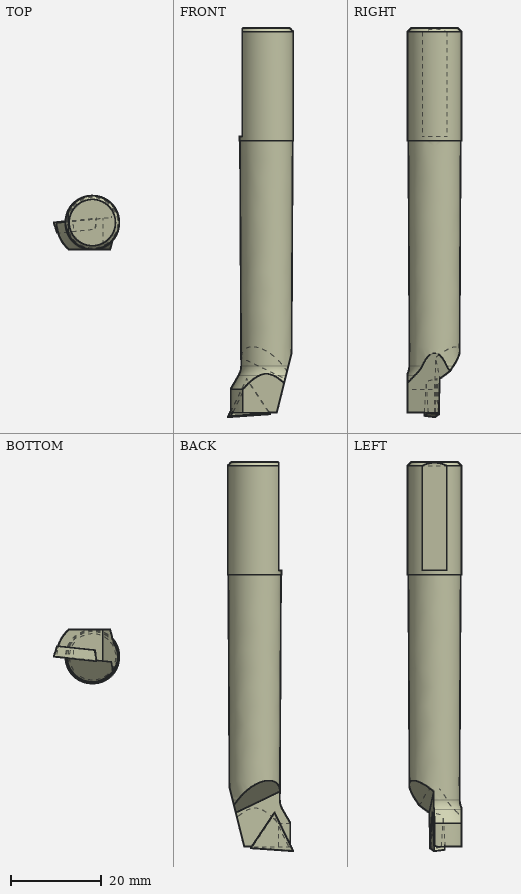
import cadquery as cq
import math


overall_height = 86.05
overall_width = 14.5
shank_radius = 5.98
shank_bottom = 61.1
end_chamfer = 0.9
flat_width = 5.4
flat_bottom = 62.0
flat_offset = math.sqrt(shank_radius**2 - (flat_width / 2) ** 2)

neck_top_radius = 5.85
neck_radius = 5.6
blend_top = 11.4
blend_radius = 4.1
flare_angle = math.radians(30)

head_radius = 7.9
head_bottom = 1.0

relief_start_x = 2.3
relief_angle = math.radians(14)

rake_angle = math.radians(6)
rake_edge_y = -0.1
runout_height = 9.9
runout_slope_x = -0.57
runout_slope_y = 0.85

insert_edge = 9.55
insert_thickness = 2.4
insert_clearance = 7.0
insert_tilt = 4.0
insert_corner = 60.0
tip_x = shank_radius - overall_width
tip_y = 0.04

cutter_size = 51.6


def half_space(plane):
    """Large block filling the positive side of a plane."""
    return cq.Workplane(plane).rect(cutter_size, cutter_size).extrude(cutter_size)


def rake_plane(origin):
    """Plane parallel to the rake face, its normal pointing into the bar."""
    across = (math.cos(rake_angle), math.sin(rake_angle), 0)
    inward = (math.sin(rake_angle), -math.cos(rake_angle), 0)
    return cq.Plane(origin=origin, xDir=across, normal=inward)


def turned_bar():
    """Shank, tapered neck, blend, flare and head as one revolved profile."""
    def blend_point(angle):
        return (
            neck_radius + blend_radius * (1 - math.cos(angle)),
            blend_top - blend_radius * math.sin(angle),
        )

    flare_start = blend_point(flare_angle)
    flare_bottom = flare_start[1] - (head_radius - flare_start[0]) / math.tan(flare_angle)
    return (
        cq.Workplane("XZ")
        .moveTo(0, head_bottom)
        .lineTo(head_radius, head_bottom)
        .lineTo(head_radius, flare_bottom)
        .lineTo(*flare_start)
        .threePointArc(blend_point(flare_angle / 2), (neck_radius, blend_top))
        .lineTo(neck_top_radius, shank_bottom)
        .lineTo(shank_radius, shank_bottom)
        .lineTo(shank_radius, overall_height - end_chamfer)
        .lineTo(shank_radius - end_chamfer, overall_height)
        .lineTo(0, overall_height)
        .close()
        .revolve(360, (0, 0, 0), (0, 1, 0))
    )


def clamping_flat():
    """Material removed for the flat on the -X side of the shank."""
    return half_space(cq.Plane(
        origin=(-flat_offset, 0, flat_bottom + cutter_size / 2),
        xDir=(0, 1, 0),
        normal=(-1, 0, 0),
    ))


def head_front_flat():
    """Material removed in front of the head, level with the shank."""
    return half_space(cq.Plane(origin=(0, -shank_radius, 0), xDir=(1, 0, 0), normal=(0, -1, 0)))


def head_relief():
    """Material removed beyond the slope on the +X side."""
    outward = (math.cos(relief_angle), 0, -math.sin(relief_angle))
    return half_space(cq.Plane(origin=(relief_start_x, 0, head_bottom), xDir=(0, 1, 0), normal=outward))


def chip_space():
    """Material removed behind the rake face and below the run-out plane."""
    below_runout = half_space(cq.Plane(
        origin=(0, 0, runout_height),
        xDir=(0, 1, runout_slope_y),
        normal=(runout_slope_x, runout_slope_y, -1),
    ))
    into_bar = half_space(rake_plane((-head_radius, rake_edge_y, 0)))
    return below_runout.cut(into_bar)


def triangular_insert():
    """Triangle narrowing with its clearance angle from the rake side inward."""
    def corner(angle):
        return (insert_edge * math.cos(math.radians(angle)), insert_edge * math.sin(math.radians(angle)))

    return (
        cq.Workplane(rake_plane((tip_x, tip_y, 0)))
        .polyline([(0, 0), corner(insert_tilt), corner(insert_tilt + insert_corner)])
        .close()
        .extrude(insert_thickness, taper=insert_clearance)
    )


insert = triangular_insert()
bar = (
    turned_bar()
    .cut(clamping_flat())
    .cut(head_front_flat())
    .cut(head_relief())
    .cut(chip_space())
    .cut(insert)
)

result = cq.Compound.makeCompound([bar.val(), insert.val()])